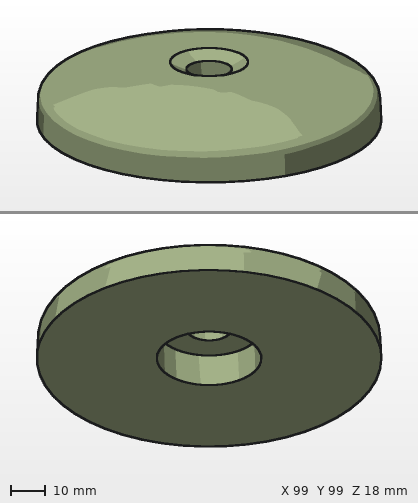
import cadquery as cq

base_diameter = 99.0
total_height = 18.0

skirt_height = 6.5
skirt_top_diameter = 98.4
dome_diameter = 93.6
dome_base_height = 10.0
shoulder_mid_diameter = 97.2
shoulder_mid_height = 8.5

hub_diameter = 44.0
hub_height = 16.8

sink_diameter = 22.4
bore_diameter = 13.1
sink_depth = 2.2

recess_diameter = 30.0
recess_depth = 9.9

dome_mid_diameter = 71.8
dome_mid_height = 14.1

hub_mid_diameter = 33.2
hub_mid_height = 17.5


def make_body():
    """Revolve the skirt, shoulder, dome and hub, with the sink and bore open."""
    profile = (
        cq.Workplane("XZ")
        .moveTo(bore_diameter / 2, 0)
        .lineTo(base_diameter / 2, 0)
        .lineTo(skirt_top_diameter / 2, skirt_height)
        .threePointArc(
            (shoulder_mid_diameter / 2, shoulder_mid_height),
            (dome_diameter / 2, dome_base_height),
        )
        .threePointArc(
            (dome_mid_diameter / 2, dome_mid_height),
            (hub_diameter / 2, hub_height),
        )
        .threePointArc(
            (hub_mid_diameter / 2, hub_mid_height),
            (sink_diameter / 2, total_height),
        )
        .lineTo(bore_diameter / 2, total_height - sink_depth)
        .close()
    )
    return profile.revolve(360, (0, 0, 0), (0, 1, 0))


def make_recess():
    """Round pocket opening at the underside."""
    return cq.Workplane("XY").circle(recess_diameter / 2).extrude(recess_depth)


result = make_body().cut(make_recess())